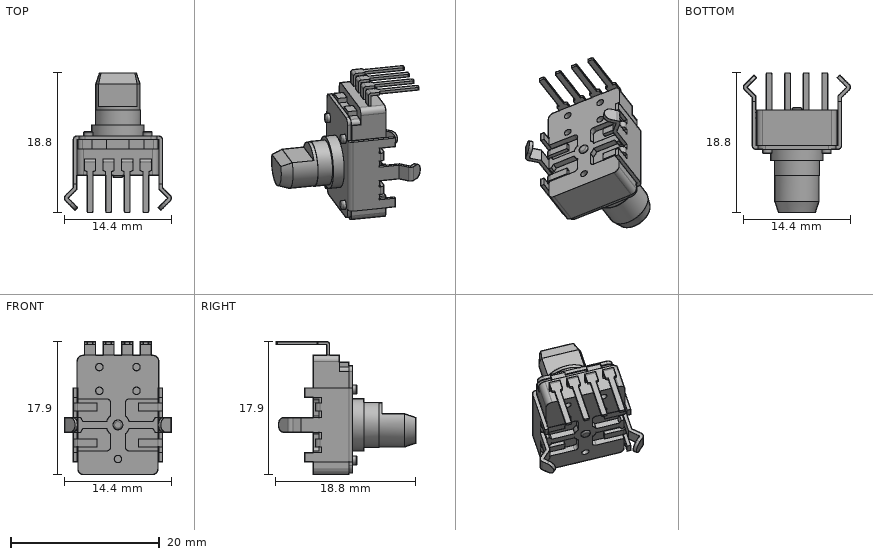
import cadquery as cq
import math


BODY_DEPTH = 4.8
BODY_TOP = 9.38
BODY_BOTTOM = -6.7
BODY_TOP_RADIUS = 0.85
BODY_BOTTOM_RADIUS = 0.77
LOWER_HALF_WIDTH = 5.4
STEP_Y = 3.52
STEP_TOP = 7.8
STEP_LEDGE = 7.18
STEP_RADIUS = 0.6
BLOCK_TOP = 8.46
BLOCK_WIDTH = 1.97
BLOCK_X = 2.5

SHEET = 0.5
BRACKET_HALF_WIDTH = 6.02
BRACKET_HALF_HEIGHT = 4.98
PLATE_HALF_WIDTH = 5.23
PLATE_TOP = 7.99
PLATE_BOTTOM = -6.49
PLATE_TOP_RADIUS = 0.8
PLATE_BOTTOM_RADIUS = 1.0
NOTCH_Y = 1.09
LEG_INNER_Z = 3.72
LEG_END_Y = -1.17
BRACKET_INNER = BRACKET_HALF_WIDTH - SHEET
PLATE_FRONT_Y = BODY_DEPTH + SHEET

CLIP_HALF_HEIGHT = 1.0
CLIP_BEND_Y = -1.88
FLARE_ANGLE = math.radians(45)
CLIP_FLARE = 1.18
CLIP_RETURN = 1.28

TAB_MIN_Z = 1.86
TAB_MAX_Z = 2.97
TAB_END_X = 2.78
TAB_BEND_RADIUS = 0.6
POCKET_DEPTH = 0.8
POCKET_INNER_X = 1.0
POCKET_TOP_Z = 3.5
POCKET_BOTTOM_Z = 0.49
POCKET_RADIUS = 0.5
POCKET_FLARE_START_X = 4.72
POCKET_FLARE_END_X = 5.02
HUB_LAND_RADIUS = 1.58

HUB_RADIUS = 0.65
HUB_HEIGHT = 0.3
HUB_FILLET = 0.2
HOLE_DIAMETER = 1.0
HOLE_DEPTH = 1.0
HOLE_X = 2.5
HOLE_UPPER_Z = 7.78
HOLE_LOWER_Z = 4.59

RIVET_RADIUS = 0.62
RIVET_HEIGHT = 0.58
RIVET_FILLET = 0.17
RIVET_X = 3.99
RIVET_Z = 4.78

BUSHING_RADIUS = 3.53
BUSHING_END_Y = 6.8
COLLAR_RADIUS = 3.05
COLLAR_END_Y = 8.82
SHAFT_RADIUS = 2.99
SHAFT_END_Y = 13.8
SHAFT_TAPER_Y = 12.3
SHAFT_TAPER = 0.5
FLAT_START_Y = 9.29
FLAT_Z = 1.5

TERMINAL_COUNT = 4
TERMINAL_PITCH = 2.5
TERMINAL_SHEET = 0.4
TERMINAL_BEND_RADIUS = 0.38
TERMINAL_TOP = 11.2
TERMINAL_FRONT_Y = 2.2
TERMINAL_END_Y = -5.0
TERMINAL_WIDE = 1.5
TERMINAL_NARROW = 0.8
SHOULDER_START_Y = 0.64
SHOULDER_END_Y = 0.5
TIP_LENGTH = 0.19
TIP_INSET = 0.08


def slab(x_min, x_max, y_min, y_max, z_min, z_max):
    """Rectangular block between the given limits."""
    block = cq.Workplane("XY").box(x_max - x_min, y_max - y_min, z_max - z_min, centered=False)
    return block.translate((x_min, y_min, z_min))


def facing_plane(y):
    """Work plane at depth y; sketches use X and Z, and extrusions run toward -Y."""
    return cq.Workplane("XZ", origin=(0, y, 0))


def both_sides(solid):
    """The solid together with its mirror image across X = 0."""
    return solid.union(solid.mirror("YZ"))


def make_body():
    """Narrow lower part, wider upper part, and a stepped front with two raised blocks on top."""
    side = BRACKET_INNER
    lower_side = LOWER_HALF_WIDTH
    lower = slab(-lower_side, lower_side, 0, BODY_DEPTH, BODY_BOTTOM, BRACKET_HALF_HEIGHT)
    lower = lower.edges("|Y and <Z").fillet(BODY_BOTTOM_RADIUS)

    upper = slab(-side, side, 0, BODY_DEPTH, BRACKET_HALF_HEIGHT, BODY_TOP)
    upper = upper.edges("|Y and >Z").fillet(BODY_TOP_RADIUS)
    upper = upper.cut(slab(-side, side, STEP_Y, BODY_DEPTH, STEP_LEDGE, BODY_TOP))

    step = slab(-lower_side, lower_side, STEP_Y, BODY_DEPTH, STEP_LEDGE, STEP_TOP)
    step = step.edges("|Y and >Z").fillet(STEP_RADIUS)
    block_min_x = BLOCK_X - BLOCK_WIDTH / 2
    block = slab(block_min_x, block_min_x + BLOCK_WIDTH, STEP_Y, BODY_DEPTH, STEP_LEDGE, BLOCK_TOP)
    return lower.union(upper).union(step).union(both_sides(block))


def make_pockets():
    """Four rear pockets, open to the body sides, that leave a round land about the hub."""
    outline = [
        (POCKET_INNER_X, POCKET_BOTTOM_Z),
        (POCKET_FLARE_START_X, POCKET_BOTTOM_Z),
        (POCKET_FLARE_END_X, CLIP_HALF_HEIGHT),
        (BRACKET_INNER, CLIP_HALF_HEIGHT),
        (BRACKET_INNER, POCKET_TOP_Z),
        (POCKET_INNER_X, POCKET_TOP_Z),
    ]
    pocket = facing_plane(POCKET_DEPTH).polyline(outline).close().extrude(POCKET_DEPTH)
    pocket = pocket.edges("|Y and <X and >Z").fillet(POCKET_RADIUS)
    pocket = pocket.cut(facing_plane(POCKET_DEPTH).circle(HUB_LAND_RADIUS).extrude(POCKET_DEPTH))
    pair = both_sides(pocket)
    return pair.union(pair.mirror("XY"))


def make_holes():
    places = [(x, z) for x in (-HOLE_X, HOLE_X) for z in (HOLE_UPPER_Z, HOLE_LOWER_Z)]
    places.append((0, -HOLE_LOWER_Z))
    return facing_plane(HOLE_DEPTH).pushPoints(places).circle(HOLE_DIAMETER / 2).extrude(HOLE_DEPTH)


def make_hub():
    return facing_plane(0).circle(HUB_RADIUS).extrude(HUB_HEIGHT).faces("<Y").edges().fillet(HUB_FILLET)


def make_bracket_shell():
    """Front plate with its two bent sides, notched and ending in four short legs."""
    height = BRACKET_HALF_HEIGHT
    shell = slab(-BRACKET_HALF_WIDTH, BRACKET_HALF_WIDTH, LEG_END_Y, PLATE_FRONT_Y, -height, height)
    shell = shell.edges("|Z and >Y").fillet(SHEET)
    shell = shell.cut(slab(-BRACKET_INNER, BRACKET_INNER, LEG_END_Y, BODY_DEPTH, -height, height))
    notch = slab(-BRACKET_HALF_WIDTH, BRACKET_HALF_WIDTH, LEG_END_Y, NOTCH_Y, -LEG_INNER_Z, LEG_INNER_Z)
    shell = shell.cut(notch)
    plate = slab(-PLATE_HALF_WIDTH, PLATE_HALF_WIDTH, BODY_DEPTH, PLATE_FRONT_Y, PLATE_BOTTOM, PLATE_TOP)
    plate = plate.edges("|Y and >Z").fillet(PLATE_TOP_RADIUS)
    plate = plate.edges("|Y and <Z").fillet(PLATE_BOTTOM_RADIUS)
    return shell.union(plate)


def make_clip():
    """Right-hand clip: straight, flared outward at 45 degrees, then returned with a rounded end."""
    diagonal = SHEET * math.cos(FLARE_ANGLE)
    knee_x = BRACKET_INNER + CLIP_FLARE
    knee_y = CLIP_BEND_Y - CLIP_FLARE
    tip_x = knee_x - CLIP_RETURN
    tip_y = knee_y - CLIP_RETURN
    outer_bend_y = CLIP_BEND_Y + SHEET * math.tan(FLARE_ANGLE / 2)
    clip = (
        cq.Workplane("XY", origin=(0, 0, -CLIP_HALF_HEIGHT))
        .moveTo(BRACKET_INNER, NOTCH_Y)
        .lineTo(BRACKET_INNER, CLIP_BEND_Y)
        .lineTo(knee_x, knee_y)
        .lineTo(tip_x, tip_y)
        .lineTo(tip_x + diagonal, tip_y - diagonal)
        .lineTo(knee_x + diagonal, knee_y - diagonal)
        .threePointArc((knee_x + SHEET, knee_y), (knee_x + diagonal, knee_y + diagonal))
        .lineTo(BRACKET_HALF_WIDTH, outer_bend_y)
        .lineTo(BRACKET_HALF_WIDTH, NOTCH_Y)
        .close()
        .extrude(2 * CLIP_HALF_HEIGHT)
    )
    arm_plane = cq.Plane(origin=(tip_x, tip_y, 0), xDir=(1, 1, 0), normal=(1, -1, 0))
    end_corners = (
        cq.Workplane(arm_plane)
        .center(CLIP_HALF_HEIGHT / 2, 0)
        .rect(CLIP_HALF_HEIGHT, 2 * CLIP_HALF_HEIGHT)
        .extrude(SHEET)
        .cut(cq.Workplane(arm_plane).center(CLIP_HALF_HEIGHT, 0).circle(CLIP_HALF_HEIGHT).extrude(SHEET))
    )
    return clip.cut(end_corners)


def make_tab():
    """Upper right tab: leaves the bracket side and bends inward onto the pocket floor."""
    rear_y = POCKET_DEPTH - SHEET
    tab = slab(TAB_END_X, BRACKET_HALF_WIDTH, rear_y, NOTCH_Y, TAB_MIN_Z, TAB_MAX_Z)
    tab = tab.edges("|Z and >X and <Y").fillet(TAB_BEND_RADIUS)
    return tab.cut(slab(TAB_END_X, BRACKET_INNER, POCKET_DEPTH, NOTCH_Y, TAB_MIN_Z, TAB_MAX_Z))


def make_rivets():
    rivets = (
        facing_plane(PLATE_FRONT_Y + RIVET_HEIGHT)
        .rect(2 * RIVET_X, 2 * RIVET_Z, forConstruction=True)
        .vertices()
        .circle(RIVET_RADIUS)
        .extrude(RIVET_HEIGHT)
    )
    return rivets.faces(">Y").edges().fillet(RIVET_FILLET)


def make_shaft():
    tip_radius = SHAFT_RADIUS - SHAFT_TAPER
    shaft = (
        cq.Workplane("XY")
        .moveTo(0, PLATE_FRONT_Y)
        .lineTo(BUSHING_RADIUS, PLATE_FRONT_Y)
        .lineTo(BUSHING_RADIUS, BUSHING_END_Y)
        .lineTo(COLLAR_RADIUS, BUSHING_END_Y)
        .lineTo(COLLAR_RADIUS, COLLAR_END_Y)
        .lineTo(SHAFT_RADIUS, COLLAR_END_Y)
        .lineTo(SHAFT_RADIUS, SHAFT_TAPER_Y)
        .lineTo(tip_radius, SHAFT_END_Y)
        .lineTo(0, SHAFT_END_Y)
        .close()
        .revolve(360, (0, 0, 0), (0, 1, 0))
    )
    flat_outline = [
        (FLAT_START_Y, FLAT_Z),
        (SHAFT_TAPER_Y, FLAT_Z),
        (SHAFT_END_Y, FLAT_Z - SHAFT_TAPER),
        (SHAFT_END_Y, SHAFT_RADIUS),
        (FLAT_START_Y, SHAFT_RADIUS),
    ]
    return shaft.cut(cq.Workplane("YZ").polyline(flat_outline).close().extrude(SHAFT_RADIUS, both=True))


def make_terminal():
    """One bent terminal centred on X = 0, rising from the body and running toward -Y."""
    half_wide = TERMINAL_WIDE / 2
    half_narrow = TERMINAL_NARROW / 2
    blade_outline = [
        (half_wide, TERMINAL_FRONT_Y),
        (half_wide, SHOULDER_START_Y),
        (half_narrow, SHOULDER_END_Y),
        (half_narrow, TERMINAL_END_Y + TIP_LENGTH),
        (half_narrow - TIP_INSET, TERMINAL_END_Y),
    ]
    mirrored = [(-x, y) for x, y in reversed(blade_outline)]
    blade = (
        cq.Workplane("XY", origin=(0, 0, TERMINAL_TOP - TERMINAL_SHEET))
        .polyline(blade_outline + mirrored)
        .close()
        .extrude(TERMINAL_SHEET)
    )
    leg_y = TERMINAL_FRONT_Y - TERMINAL_SHEET
    leg = slab(-half_wide, half_wide, leg_y, TERMINAL_FRONT_Y, BODY_TOP, TERMINAL_TOP)
    return blade.union(leg).edges("|X and >Y and >Z").fillet(TERMINAL_BEND_RADIUS)


result = make_body().cut(make_pockets()).cut(make_holes())
result = result.union(make_hub()).union(make_bracket_shell())
result = result.union(both_sides(make_clip()))
tabs = both_sides(make_tab())
result = result.union(tabs).union(tabs.mirror("XY"))
result = result.union(make_rivets()).union(make_shaft())
for index in range(TERMINAL_COUNT):
    offset = (index - (TERMINAL_COUNT - 1) / 2) * TERMINAL_PITCH
    result = result.union(make_terminal().translate((offset, 0, 0)))